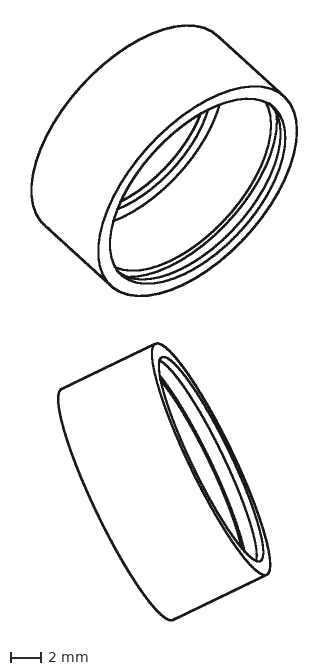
import cadquery as cq

outer_diameter = 17.0
ring_width = 7.0

lip_bore_diameter = 13.0
lip_width = 0.5
main_bore_diameter = 15.0

groove_diameter = 16.0
groove_start = 5.5
far_land_width = 0.5
groove_end = ring_width - far_land_width


def disc(diameter, start, end):
    """Solid cylinder about the X axis from X = start to X = end."""
    return cq.Workplane("YZ", origin=(start, 0, 0)).circle(diameter / 2).extrude(end - start)


ring = disc(outer_diameter, 0, ring_width)
lip_bore = disc(lip_bore_diameter, 0, lip_width)
main_bore = disc(main_bore_diameter, lip_width, ring_width)
groove = disc(groove_diameter, groove_start, groove_end)

result = ring.cut(lip_bore).cut(main_bore).cut(groove)